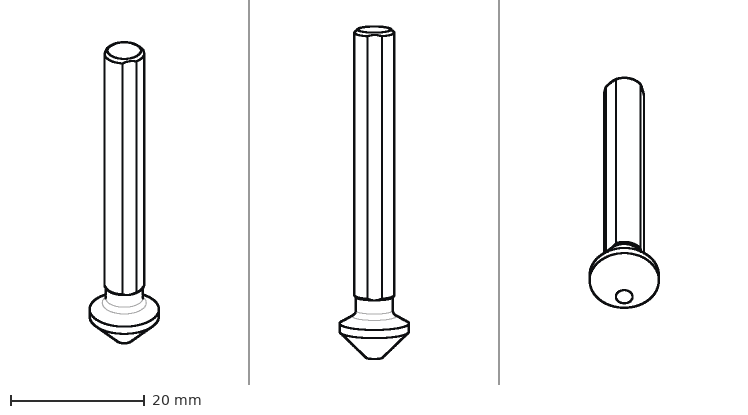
import cadquery as cq
import math

total_length = 50.0
head_radius = 5.2
tip_radius = 1.25
head_band_height = 1.25
back_angle = math.radians(30)
neck_radius = 2.8
neck_fillet = 1.0
shank_radius = 3.0
shank_start = 9.5
lower_bevel_height = 0.25
top_chamfer = 0.5
flat_distance = 2.8
flat_count = 3
first_flat_angle = 90.0

band_bottom = head_radius - tip_radius
band_top = band_bottom + head_band_height

fillet_center_radius = neck_radius + neck_fillet
fillet_end_radius = fillet_center_radius - neck_fillet * math.sin(back_angle)
fillet_end_height = band_top + (head_radius - fillet_end_radius) * math.tan(back_angle)
fillet_start_height = fillet_end_height + neck_fillet * math.cos(back_angle)
middle_angle = (math.pi / 2 - back_angle) / 2
fillet_middle = (
    fillet_center_radius - neck_fillet * math.cos(middle_angle),
    fillet_start_height - neck_fillet * math.sin(middle_angle),
)


def make_body():
    """Revolve the head, neck and shank about the Z axis."""
    return (
        cq.Workplane("XZ")
        .lineTo(tip_radius, 0)
        .lineTo(head_radius, band_bottom)
        .lineTo(head_radius, band_top)
        .lineTo(fillet_end_radius, fillet_end_height)
        .threePointArc(fillet_middle, (neck_radius, fillet_start_height))
        .lineTo(neck_radius, shank_start - lower_bevel_height)
        .lineTo(shank_radius, shank_start)
        .lineTo(shank_radius, total_length - top_chamfer)
        .lineTo(shank_radius - top_chamfer, total_length)
        .lineTo(0, total_length)
        .close()
        .revolve(360, (0, 0, 0), (0, 1, 0))
    )


def make_flat_cutter(angle):
    """Block that trims one flat along the shank, above the neck."""
    flat_bottom = shank_start - lower_bevel_height
    return (
        cq.Workplane("XY")
        .box(
            shank_radius,
            2 * shank_radius,
            total_length - flat_bottom,
            centered=(False, True, False),
        )
        .translate((flat_distance, 0, flat_bottom))
        .rotate((0, 0, 0), (0, 0, 1), angle)
    )


result = make_body()
for index in range(flat_count):
    result = result.cut(make_flat_cutter(first_flat_angle + index * 360 / flat_count))